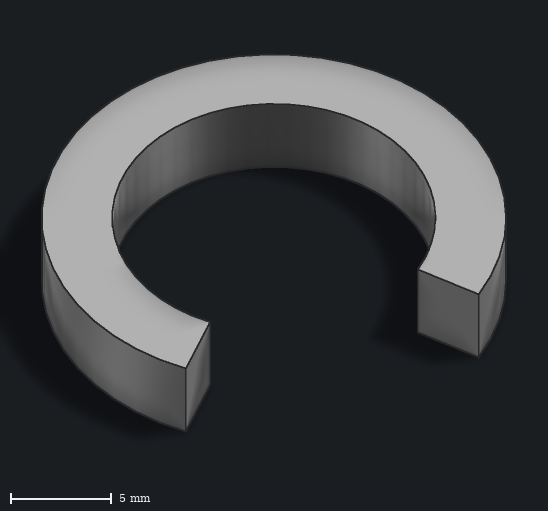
import cadquery as cq
import math

outer_diameter = 23.0
inner_diameter = 16.0
thickness = 4.4
gap_half_angle = 40.0
gap_apex_x = -0.65

wedge_length = outer_diameter
wedge_half_width = wedge_length * math.tan(math.radians(gap_half_angle))

ring = (
    cq.Workplane("XY")
    .circle(outer_diameter / 2)
    .circle(inner_diameter / 2)
    .extrude(thickness)
)

gap_wedge = (
    cq.Workplane("XY")
    .moveTo(gap_apex_x, 0)
    .lineTo(gap_apex_x + wedge_length, -wedge_half_width)
    .lineTo(gap_apex_x + wedge_length, wedge_half_width)
    .close()
    .extrude(thickness)
)

result = ring.cut(gap_wedge)